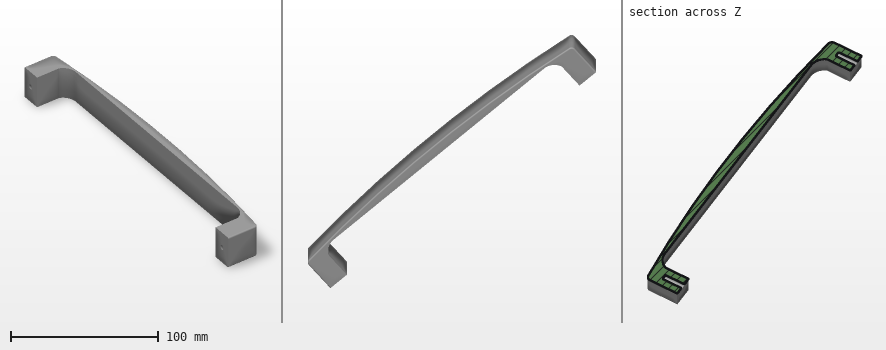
import cadquery as cq

length = 239.0
depth = 32.0
height = 25.0
hole_spacing = 224.0
end_depth = 24.65
grip_depth = 25.1
corner_width = 10.0
corner_depth = 6.8
end_radius = 3.0
edge_radius = 1.0
hole_diameter = 3.5
hole_depth = 15.0

half_length = length / 2
leg_width = length - hole_spacing
inner_half_length = half_length - leg_width
corner_radius = (corner_width**2 + corner_depth**2) / (2 * corner_depth)


def bowed_blank():
    """Solid block with a bowed +Y face and rounded outer edges."""
    blank = (
        cq.Workplane("XY")
        .moveTo(-half_length, 0)
        .lineTo(half_length, 0)
        .lineTo(half_length, end_depth)
        .threePointArc((0, depth), (-half_length, end_depth))
        .close()
        .extrude(height / 2, both=True)
    )
    blank = blank.edges("|Z and (not <Y)").fillet(end_radius)
    outside_edges = blank.faces("<Z or >Z").edges("not <Y")
    return outside_edges.fillet(edge_radius)


def finger_opening():
    """Space between the legs, with an arc from each leg to the grip."""
    flat_half_length = inner_half_length - corner_width
    corner_start = grip_depth - corner_depth
    return (
        cq.Workplane("XY")
        .moveTo(-inner_half_length, 0)
        .lineTo(-inner_half_length, corner_start)
        .radiusArc((-flat_half_length, grip_depth), corner_radius)
        .lineTo(flat_half_length, grip_depth)
        .radiusArc((inner_half_length, corner_start), corner_radius)
        .lineTo(inner_half_length, 0)
        .close()
        .extrude(height / 2, both=True)
    )


def screw_holes():
    """Blind holes going into the legs from their mounting faces."""
    return (
        cq.Workplane("XZ")
        .pushPoints([(side * hole_spacing / 2, 0) for side in (-1, 1)])
        .circle(hole_diameter / 2)
        .extrude(-hole_depth)
    )


result = bowed_blank().cut(finger_opening()).cut(screw_holes())